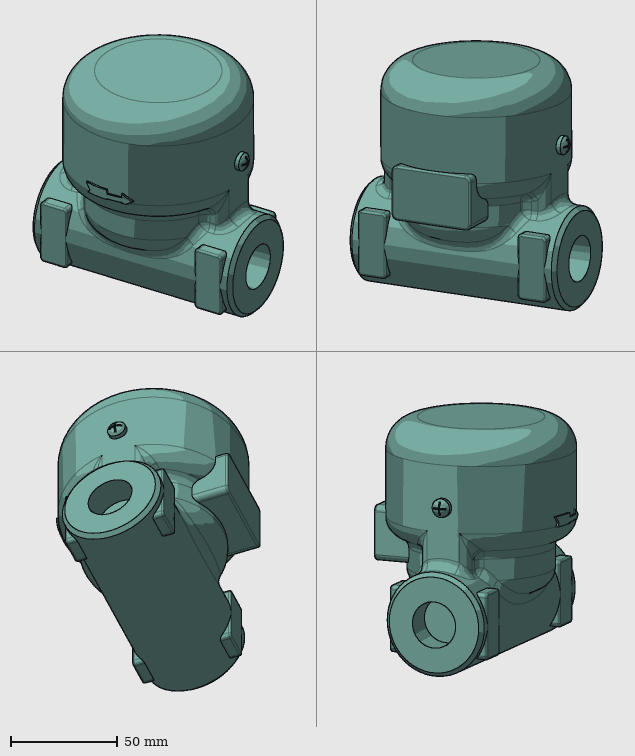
import cadquery as cq
import math

PIPE_LENGTH = 110.0
PIPE_RADIUS = 25.0
PIPE_CHAMFER = 2.0
SOCKET_DIAMETER = 22.2
SOCKET_DEPTH = 14.0

DRUM_RADIUS = 45.0
DRUM_TOP_Z = 90.0
DOME_RADIUS = 15.0
DRUM_BOTTOM_RADIUS = 10.0
DRUM_BOTTOM_ARC_Z = 42.6
NECK_RADIUS = 35.0
NECK_BOTTOM_RADIUS = 10.0
NECK_BOTTOM_Z = 8.1
SHOULDER_RADIUS = 5.0
BLEND_RADIUS = 5.0
FOOT_EDGES_TOP_Z = 25.5

PILLAR_WIDTH = 25.0
PILLAR_CORNER_RADIUS = 5.0

PAD_LENGTH = 15.0
PAD_HEIGHT = 32.0
PAD_CENTER_X = 42.5
PAD_CORNER_RADIUS = 2.0
PAD_EDGE_RADIUS = 1.0

PLATE_WIDTH = 42.0
PLATE_BOTTOM_Z = 20.8
PLATE_TOP_Z = 47.4
PLATE_FACE_Y = 46.0
PLATE_CORNER_RADIUS = 3.0
PLATE_EDGE_RADIUS = 1.0

ARROW_RELIEF = 1.0
ARROW_CENTER_Z = 44.3
ARROW_HALF_LENGTH = 12.8
ARROW_TAIL_NOTCH_X = -10.5
ARROW_TAIL_END_X = -0.75
ARROW_SHAFT_START_X = -0.2
ARROW_HEAD_START_X = 7.3
ARROW_SHAFT_HALF_HEIGHT = 1.3
ARROW_HEAD_HALF_HEIGHT = 3.4

SCREW_DIAMETER = 9.0
SCREW_Z = 54.6
SCREW_RIM_X = 47.0
SCREW_TIP_X = 49.3
SLOT_FLOOR_X = 48.2
SLOT_LENGTH = 6.5
SLOT_WIDTH = 0.6


def make_drum():
    bottom_center_x = DRUM_RADIUS - DRUM_BOTTOM_RADIUS
    shoulder_center_x = NECK_RADIUS + SHOULDER_RADIUS
    center_distance = DRUM_BOTTOM_RADIUS + SHOULDER_RADIUS
    shoulder_angle = math.acos((shoulder_center_x - bottom_center_x) / center_distance)
    shoulder_z = DRUM_BOTTOM_ARC_Z - center_distance * math.sin(shoulder_angle)

    def bottom_arc_point(angle):
        return (
            bottom_center_x + DRUM_BOTTOM_RADIUS * math.cos(angle),
            DRUM_BOTTOM_ARC_Z - DRUM_BOTTOM_RADIUS * math.sin(angle),
        )

    half_turn = (math.pi - shoulder_angle) / 2
    shoulder_middle = (
        shoulder_center_x - SHOULDER_RADIUS * math.cos(half_turn),
        shoulder_z + SHOULDER_RADIUS * math.sin(half_turn),
    )
    profile = (
        cq.Workplane("XZ")
        .moveTo(0, NECK_BOTTOM_Z)
        .lineTo(NECK_RADIUS - NECK_BOTTOM_RADIUS, NECK_BOTTOM_Z)
        .radiusArc((NECK_RADIUS, NECK_BOTTOM_Z + NECK_BOTTOM_RADIUS), -NECK_BOTTOM_RADIUS)
        .lineTo(NECK_RADIUS, shoulder_z)
        .threePointArc(shoulder_middle, bottom_arc_point(shoulder_angle))
        .threePointArc(bottom_arc_point(shoulder_angle / 2), (DRUM_RADIUS, DRUM_BOTTOM_ARC_Z))
        .lineTo(DRUM_RADIUS, DRUM_TOP_Z)
        .lineTo(0, DRUM_TOP_Z)
        .close()
    )
    return profile.revolve(360, (0, 0, 0), (0, 1, 0))


def make_pillars():
    bar = cq.Workplane("XY").rect(PIPE_LENGTH, PILLAR_WIDTH).extrude(DRUM_BOTTOM_ARC_Z)
    round_limit = cq.Workplane("XY").circle(DRUM_RADIUS).extrude(DRUM_BOTTOM_ARC_Z)
    return bar.intersect(round_limit).edges("|Z").fillet(PILLAR_CORNER_RADIUS)


def make_wrench_pad(x, side):
    return (
        cq.Workplane("XZ")
        .center(x, 0)
        .rect(PAD_LENGTH, PAD_HEIGHT)
        .extrude(-side * PIPE_RADIUS)
        .edges("|Y")
        .fillet(PAD_CORNER_RADIUS)
        .faces(">Y" if side > 0 else "<Y")
        .edges()
        .fillet(PAD_EDGE_RADIUS)
    )


def make_plate_block():
    return (
        cq.Workplane("XZ")
        .center(0, (PLATE_BOTTOM_Z + PLATE_TOP_Z) / 2)
        .rect(PLATE_WIDTH, PLATE_TOP_Z - PLATE_BOTTOM_Z)
        .extrude(-PLATE_FACE_Y)
        .edges("|Y")
        .fillet(PLATE_CORNER_RADIUS)
        .faces(">Y")
        .edges()
        .fillet(PLATE_EDGE_RADIUS)
    )


def make_arrow():
    outline = [
        (-ARROW_HALF_LENGTH, ARROW_HEAD_HALF_HEIGHT),
        (ARROW_TAIL_END_X, ARROW_HEAD_HALF_HEIGHT),
        (ARROW_SHAFT_START_X, ARROW_SHAFT_HALF_HEIGHT),
        (ARROW_HEAD_START_X, ARROW_SHAFT_HALF_HEIGHT),
        (ARROW_HEAD_START_X, ARROW_HEAD_HALF_HEIGHT),
        (ARROW_HALF_LENGTH, 0),
        (ARROW_HEAD_START_X, -ARROW_HEAD_HALF_HEIGHT),
        (ARROW_HEAD_START_X, -ARROW_SHAFT_HALF_HEIGHT),
        (ARROW_SHAFT_START_X, -ARROW_SHAFT_HALF_HEIGHT),
        (ARROW_TAIL_END_X, -ARROW_HEAD_HALF_HEIGHT),
        (-ARROW_HALF_LENGTH, -ARROW_HEAD_HALF_HEIGHT),
        (ARROW_TAIL_NOTCH_X, 0),
    ]
    outer_radius = DRUM_RADIUS + ARROW_RELIEF
    arrow = cq.Workplane("XZ").center(0, ARROW_CENTER_Z).polyline(outline).close().extrude(outer_radius)
    floor = cq.Workplane("XY", origin=(0, 0, DRUM_BOTTOM_ARC_Z))
    curved_limit = floor.circle(outer_radius).extrude(DRUM_TOP_Z - DRUM_BOTTOM_ARC_Z)
    return arrow.intersect(curved_limit)


def make_housing():
    pipe = cq.Workplane("YZ").circle(PIPE_RADIUS).extrude(PIPE_LENGTH / 2, both=True)
    body = pipe.union(make_drum()).union(make_pillars())

    foot_edges = cq.selectors.BoxSelector(
        (-DRUM_RADIUS, -PIPE_RADIUS, NECK_BOTTOM_Z / 2),
        (DRUM_RADIUS, PIPE_RADIUS, FOOT_EDGES_TOP_Z),
    )
    body = body.edges(foot_edges).fillet(BLEND_RADIUS)
    body = body.faces(">Z").edges().fillet(DOME_RADIUS)
    body = body.faces("<X or >X").edges().chamfer(PIPE_CHAMFER)

    for x in (-PAD_CENTER_X, PAD_CENTER_X):
        for side in (-1, 1):
            body = body.union(make_wrench_pad(x, side))
    body = body.union(make_plate_block()).union(make_arrow())

    for end in ("<X", ">X"):
        body = body.faces(end).workplane(centerOption="CenterOfMass").hole(SOCKET_DIAMETER, SOCKET_DEPTH)
    return body


def make_screw(side):
    radius = SCREW_DIAMETER / 2
    dome_height = SCREW_TIP_X - SCREW_RIM_X
    dome_radius = (radius**2 + dome_height**2) / (2 * dome_height)
    head = (
        cq.Workplane("XY")
        .lineTo(SCREW_TIP_X, 0)
        .radiusArc((SCREW_RIM_X, radius), -dome_radius)
        .lineTo(0, radius)
        .close()
        .revolve(360, (0, 0, 0), (1, 0, 0))
    )
    floor = cq.Workplane("YZ", origin=(SLOT_FLOOR_X, 0, 0))
    for length_y, length_z in ((SLOT_LENGTH, SLOT_WIDTH), (SLOT_WIDTH, SLOT_LENGTH)):
        head = head.cut(floor.rect(length_y, length_z).extrude(dome_height))
    drum_wall = cq.Workplane("XY").circle(DRUM_RADIUS).extrude(SCREW_DIAMETER, both=True)
    head = head.cut(drum_wall)
    if side < 0:
        head = head.mirror("YZ")
    return head.translate((0, 0, SCREW_Z))


housing = make_housing()
screws = [make_screw(side) for side in (-1, 1)]

result = cq.Compound.makeCompound([housing.val(), *[screw.val() for screw in screws]])